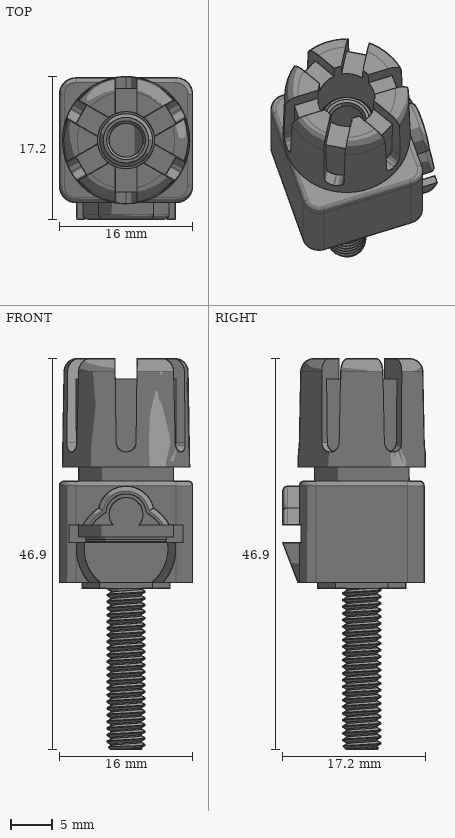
import cadquery as cq


block_width = 16.0
block_depth = 15.0
block_height = 12.2
corner_radius = 2.0
top_edge_radius = 0.6
front_y = -block_depth / 2
front_reach = 9.5
boss_y = -front_reach
boss_height = front_y - boss_y

foot_size = 10.6
foot_thickness = 0.7
foot_round_diameter = 12.35

collar_diameter = 11.4
collar_opening_diameter = 12.0
collar_bottom_z = 5.5
collar_tip_diameter = 9.75
collar_groove_diameter = 9.5
collar_groove_bottom_z = 4.95
collar_groove_top_z = 5.15

slot_width = 13.7
slot_bottom_z = 4.8
slot_top_z = 6.92
wire_hole_diameter = 4.05
wire_hole_z = 8.2

arch_radius = 6.75 / 2
ring_radius = 5.95
ring_center_z = 4.0
boss_wall = arch_radius - 4.9 / 2
boss_edge_radius = 0.6
rib_bottom_projection = 0.15

cap_bottom_z = 13.88
cap_top_z = 26.9
cap_bottom_diameter = 15.3
cap_top_diameter = 14.85
cap_edge_radius = 1.6
cap_bore_diameter = 6.85
cap_bore_floor_z = 17.0

grip_count = 6
grip_top_width = 2.65
grip_bottom_width = 2.4
grip_end_z = 15.7
grip_end_radius = 1.15
grip_floor_radius = 6.2
grip_through_z = 24.45

post_diameter = 6.35
post_top_z = 18.0
post_chamfer = 0.45
post_bore_diameter = 4.05
post_countersink = 0.3

thread_diameter = 4.6
thread_root_diameter = 3.7
thread_pitch = 0.8
thread_crest_width = 0.1
thread_root_width = 0.7
screw_end_z = -20.0
thread_start_angle = 130.0
thread_overlap = 0.05


def cylinder_z(diameter, bottom_z, top_z):
    """Upright cylinder on the Z axis."""
    return cq.Workplane("XY", origin=(0, 0, bottom_z)).circle(diameter / 2).extrude(top_z - bottom_z)


def front_plane(y):
    """Plane facing -Y at the given Y, with local x = X and local y = Z."""
    return cq.Workplane("XZ", origin=(0, y, 0))


def make_block():
    block = (
        cq.Workplane("XY")
        .rect(block_width, block_depth)
        .extrude(block_height)
        .edges("|Z")
        .fillet(corner_radius)
        .faces(">Z")
        .edges()
        .fillet(top_edge_radius)
    )
    foot = (
        cq.Workplane("XY")
        .rect(foot_size, foot_size)
        .extrude(-foot_thickness)
        .intersect(cylinder_z(foot_round_diameter, -foot_thickness, 0))
    )
    return block.union(foot)


def boss_cylinder(radius, center_z):
    """Cylinder standing on the front face of the block."""
    return front_plane(front_y).center(0, center_z).circle(radius).extrude(boss_height)


def make_hood():
    """Arch and ring legs above the slot, joined by one wall and hollowed to the block face."""
    arch = boss_cylinder(arch_radius, wire_hole_z).faces("<Y").edges().fillet(boss_edge_radius)
    legs = boss_cylinder(ring_radius, ring_center_z).faces("<Y").edges().fillet(boss_edge_radius)
    arch_recess = boss_cylinder(arch_radius - boss_wall, wire_hole_z)
    leg_recess = boss_cylinder(ring_radius - boss_wall, ring_center_z)
    below_slot_top = front_plane(0).rect(2 * block_width, 2 * slot_top_z).extrude(block_depth)
    return arch.union(legs).cut(arch_recess).cut(leg_recess).cut(below_slot_top)


def make_ribs():
    """Two curved ribs whose front faces slope back towards the underside of the block."""
    ring = boss_cylinder(ring_radius, ring_center_z)
    ring = ring.cut(boss_cylinder(ring_radius - boss_wall, ring_center_z))
    wedge = (
        cq.Workplane("YZ", origin=(-block_width / 2, 0, 0))
        .polyline(
            [
                (front_y, 0),
                (front_y - rib_bottom_projection, 0),
                (boss_y, slot_bottom_z),
                (front_y, slot_bottom_z),
            ]
        )
        .close()
        .extrude(block_width)
    )
    return ring.intersect(wedge)


def make_front_openings():
    """Slot reaching back to the screw axis, and the wire hole above it."""
    slot = (
        front_plane(0)
        .center(0, (slot_bottom_z + slot_top_z) / 2)
        .rect(slot_width, slot_top_z - slot_bottom_z)
        .extrude(front_reach)
    )
    wire_hole = front_plane(0).center(0, wire_hole_z).circle(wire_hole_diameter / 2).extrude(front_reach)
    return slot.union(wire_hole)


def make_collar():
    collar = cylinder_z(collar_diameter, collar_bottom_z, cap_bottom_z)
    tip = cylinder_z(collar_tip_diameter, slot_bottom_z, collar_bottom_z)
    groove = cylinder_z(collar_tip_diameter, collar_groove_bottom_z, collar_groove_top_z)
    groove = groove.cut(cylinder_z(collar_groove_diameter, collar_groove_bottom_z, collar_groove_top_z))
    return collar.union(tip.cut(groove))


def make_grip_prism(inner_radius):
    """Tapered slot with rounded lower corners, from inner_radius out through the -Y side of the cap."""
    half_bottom = grip_bottom_width / 2
    half_top = grip_top_width / 2
    half_flat = half_bottom - grip_end_radius
    straight_z = grip_end_z + grip_end_radius
    return (
        front_plane(-inner_radius)
        .moveTo(-half_top, cap_top_z)
        .lineTo(-half_bottom, straight_z)
        .radiusArc((-half_flat, grip_end_z), -grip_end_radius)
        .lineTo(half_flat, grip_end_z)
        .radiusArc((half_bottom, straight_z), -grip_end_radius)
        .lineTo(half_top, cap_top_z)
        .close()
        .extrude(cap_bottom_diameter)
    )


def make_grip_cutter():
    """Groove on the outside that opens into the cap bore near the top."""
    crown = cylinder_z(2 * cap_bottom_diameter, grip_through_z, cap_top_z)
    return make_grip_prism(grip_floor_radius).union(make_grip_prism(0).intersect(crown))


def make_cap():
    cap = (
        cq.Workplane("XZ")
        .polyline(
            [
                (0, cap_bottom_z),
                (cap_bottom_diameter / 2, cap_bottom_z),
                (cap_top_diameter / 2, cap_top_z),
                (0, cap_top_z),
            ]
        )
        .close()
        .revolve(360, (0, 0, 0), (0, 1, 0))
        .faces(">Z")
        .edges()
        .fillet(cap_edge_radius)
        .cut(cylinder_z(cap_bore_diameter, cap_bore_floor_z, cap_top_z))
    )
    cutter = make_grip_cutter()
    for i in range(grip_count):
        cap = cap.cut(cutter.rotate((0, 0, 0), (0, 0, 1), i * 360 / grip_count))
    return cap


def make_post():
    return cylinder_z(post_diameter, cap_bore_floor_z, post_top_z).faces(">Z").edges().chamfer(post_chamfer)


def make_post_openings():
    """Countersunk bore down to a cross hole that lines up with the wire hole."""
    bore = cylinder_z(post_bore_diameter, wire_hole_z, post_top_z)
    countersink = (
        cq.Workplane("XY", origin=(0, 0, post_top_z))
        .circle(post_bore_diameter / 2 + post_countersink)
        .workplane(offset=-post_countersink)
        .circle(post_bore_diameter / 2)
        .loft()
    )
    cross_hole = (
        front_plane(post_diameter / 2)
        .center(0, wire_hole_z)
        .circle(wire_hole_diameter / 2)
        .extrude(post_diameter)
    )
    return bore.union(countersink).union(cross_hole)


def make_screw():
    """Core with a right-handed helical ridge, chamfered at its lower end."""
    root_radius = thread_root_diameter / 2
    crest_radius = thread_diameter / 2
    sunk_radius = root_radius - thread_overlap
    helix_bottom_z = screw_end_z - thread_pitch
    helix_height = -foot_thickness - helix_bottom_z
    core = cylinder_z(thread_root_diameter, screw_end_z, 0)
    helix = cq.Wire.makeHelix(thread_pitch, helix_height, root_radius)
    ridge = (
        cq.Workplane("XZ")
        .polyline(
            [
                (sunk_radius, -thread_root_width / 2),
                (crest_radius, -thread_crest_width / 2),
                (crest_radius, thread_crest_width / 2),
                (sunk_radius, thread_root_width / 2),
            ]
        )
        .close()
        .sweep(cq.Workplane(helix), isFrenet=True)
        .rotate((0, 0, 0), (0, 0, 1), thread_start_angle)
        .translate((0, 0, helix_bottom_z))
    )
    end_chamfer = crest_radius - root_radius
    envelope = cylinder_z(thread_diameter + thread_overlap, screw_end_z, -foot_thickness / 2)
    envelope = envelope.faces("<Z").edges().chamfer(end_chamfer)
    return core.union(ridge).intersect(envelope)


body = make_block().union(make_hood()).union(make_ribs()).cut(make_front_openings())
body = body.cut(cylinder_z(collar_opening_diameter, slot_top_z, block_height))
body = body.union(make_collar()).union(make_cap()).union(make_post()).cut(make_post_openings())
result = body.union(make_screw())